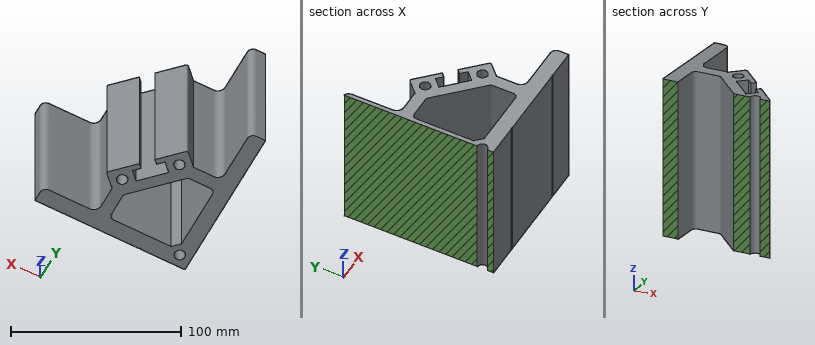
import cadquery as cq
import math

size = 100.0
leg_thickness = 10.2
leg_tip_radius = 4.0
heel_radius = 0.8

strut_inner = 56.0
strut_thickness = 8.0
strut_outer = strut_inner + strut_thickness
strut_root_radius = 5.0

rail_inner = 59.4
rail_face = 77.1
rail_width = 50.0
rail_corner_radius = 1.5

slot_width = 20.0
slot_mouth = 9.6
slot_depth = 10.8
lip_thickness = 3.4

heel_web_leg = 4.5
cavity_square_radius = 3.0
cavity_obtuse_radius = 3.0

hole_diameter = 6.6
heel_hole_offset = 7.5
rail_hole_distance = 69.6
rail_hole_spacing = 35.0

groove_positions = (30.0, 80.0)
groove_width = 1.0
groove_depth = 0.5


def from_diagonal(distance, offset):
    """Point at a distance from the heel along Y = X, offset sideways towards +Y."""
    return (
        (distance - offset) / math.sqrt(2),
        (distance + offset) / math.sqrt(2),
    )


def extrude_polygon(points):
    return cq.Workplane("XY").polyline(points).close().extrude(size)


def round_edges(body, points, radius):
    """Fillet the vertical edges that pass through the given XY points."""
    for x, y in points:
        edge = cq.selectors.NearestToPointSelector((x, y, size / 2))
        body = body.edges("|Z").edges(edge).fillet(radius)
    return body


def make_outer_body():
    half_width = rail_width / 2
    rail_corners = [from_diagonal(rail_face, side * half_width) for side in (1, -1)]
    side_shift = half_width * math.sqrt(2)
    rail_foot = strut_outer - side_shift
    body = extrude_polygon([
        (0, 0),
        (size, 0),
        (size, leg_thickness),
        (strut_outer, leg_thickness),
        (strut_outer, rail_foot),
        rail_corners[1],
        rail_corners[0],
        (rail_foot, strut_outer),
        (leg_thickness, strut_outer),
        (leg_thickness, size),
        (0, size),
    ])
    leg_tips = [(size, leg_thickness), (leg_thickness, size)]
    strut_roots = [(strut_outer, leg_thickness), (leg_thickness, strut_outer)]
    body = round_edges(body, leg_tips, leg_tip_radius)
    body = round_edges(body, strut_roots, strut_root_radius)
    body = round_edges(body, rail_corners, rail_corner_radius)
    return round_edges(body, [(0, 0)], heel_radius)


def make_cavity():
    web_end = leg_thickness + heel_web_leg
    bend = rail_inner * math.sqrt(2) - strut_inner
    square_corners = [(strut_inner, leg_thickness), (leg_thickness, strut_inner)]
    obtuse_corners = [(strut_inner, bend), (bend, strut_inner)]
    cavity = extrude_polygon([
        (web_end, leg_thickness),
        square_corners[0],
        *obtuse_corners,
        square_corners[1],
        (leg_thickness, web_end),
    ])
    cavity = round_edges(cavity, square_corners, cavity_square_radius)
    return round_edges(cavity, obtuse_corners, cavity_obtuse_radius)


def make_t_slot():
    floor = rail_face - slot_depth
    lip = rail_face - lip_thickness
    half_slot = slot_width / 2
    half_mouth = slot_mouth / 2
    outline = [
        (floor, -half_slot),
        (lip, -half_slot),
        (lip, -half_mouth),
        (rail_face, -half_mouth),
        (rail_face, half_mouth),
        (lip, half_mouth),
        (lip, half_slot),
        (floor, half_slot),
    ]
    return extrude_polygon([from_diagonal(*point) for point in outline])


def make_holes():
    centers = [
        (heel_hole_offset, heel_hole_offset),
        from_diagonal(rail_hole_distance, rail_hole_spacing / 2),
        from_diagonal(rail_hole_distance, -rail_hole_spacing / 2),
    ]
    return cq.Workplane("XY").pushPoints(centers).circle(hole_diameter / 2).extrude(size)


def make_groove(x):
    return extrude_polygon([
        (x - groove_width / 2, 0),
        (x + groove_width / 2, 0),
        (x, groove_depth),
    ])


result = make_outer_body().cut(make_cavity()).cut(make_t_slot()).cut(make_holes())
for groove_x in groove_positions:
    result = result.cut(make_groove(groove_x))